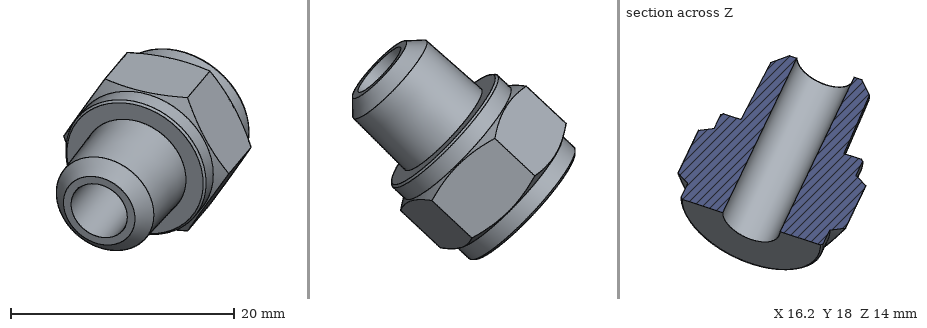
import cadquery as cq
import math


hex_sides = 6
hex_across_flats = 14.0
hex_length = 6.4
collar_diameter = 13.74
collar_length = 1.8
collar_chamfer = 0.2
hex_chamfer_angle = math.radians(30)
corner_margin = 1.0

spigot_length = 8.0
gauge_diameter = 9.728
gauge_length = 4.0
taper = 1 / 16
tip_diameter = 7.0
tip_chamfer_length = 1.3

bore_diameter = 5.5

shoulder_y = spigot_length
hex_start_y = shoulder_y + collar_length
hex_end_y = hex_start_y + hex_length
back_y = hex_end_y + collar_length

hex_across_corners = hex_across_flats / math.cos(math.pi / hex_sides)
collar_radius = collar_diameter / 2


def spigot_radius(y):
    """Radius of the taper at distance y from the tip."""
    return (gauge_diameter + taper * (y - gauge_length)) / 2


def revolve_profile(points):
    """Solid of revolution about Y from (radius, y) points."""
    return cq.Workplane("XY").polyline(points).close().revolve(360, (0, 0, 0), (0, 1, 0))


def cylinder_along_y(diameter, start_y, length):
    """Cylinder on the Y axis, running toward +Y from start_y."""
    return cq.Workplane("XZ", origin=(0, start_y, 0)).circle(diameter / 2).extrude(-length)


def make_spigot():
    """Tapered spigot with a chamfered tip."""
    return revolve_profile([
        (0, 0),
        (tip_diameter / 2, 0),
        (spigot_radius(tip_chamfer_length), tip_chamfer_length),
        (spigot_radius(shoulder_y), shoulder_y),
        (0, shoulder_y),
    ])


def make_collars():
    """Round body whose ends stand out of the hexagon as chamfered collars."""
    body = cylinder_along_y(collar_diameter, shoulder_y, back_y - shoulder_y)
    return body.edges("%CIRCLE").chamfer(collar_chamfer)


def make_hexagon():
    """Hexagon with corners along X, its corners coned off at both ends."""
    prism = (
        cq.Workplane("XZ", origin=(0, hex_start_y, 0))
        .polygon(hex_sides, hex_across_corners)
        .extrude(-hex_length)
    )
    outer_radius = hex_across_corners / 2 + corner_margin
    cone_rise = (outer_radius - collar_radius) * math.tan(hex_chamfer_angle)
    envelope = revolve_profile([
        (0, hex_start_y),
        (collar_radius, hex_start_y),
        (outer_radius, hex_start_y + cone_rise),
        (outer_radius, hex_end_y - cone_rise),
        (collar_radius, hex_end_y),
        (0, hex_end_y),
    ])
    return prism.intersect(envelope)


bore = cylinder_along_y(bore_diameter, 0, back_y)
result = make_spigot().union(make_collars()).union(make_hexagon()).cut(bore)